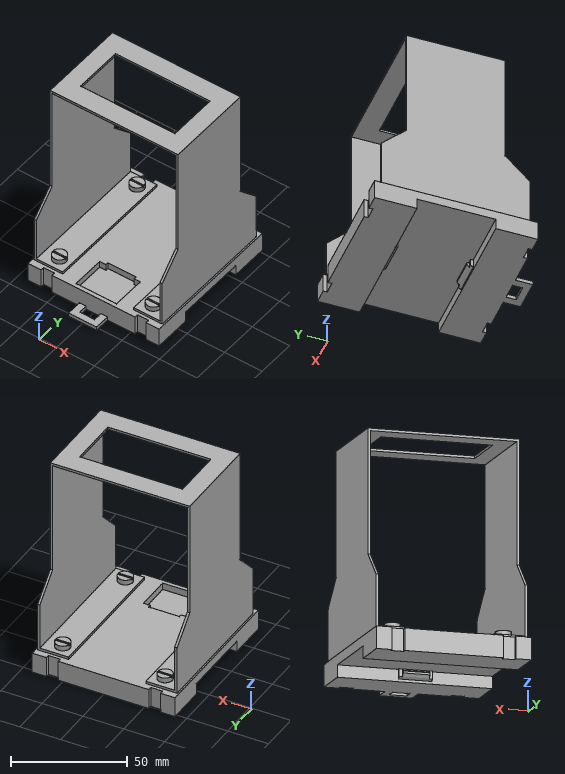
import cadquery as cq

BASE_WIDTH = 70.0
BASE_DEPTH = 75.0
BASE_HEIGHT = 10.0
TOTAL_HEIGHT = 101.0

RAIL_WIDTH = 36.2
RAIL_DEPTH = 5.5

NOTCH_WIDTH = 5.8
NOTCH_DEPTH = 1.8

POCKET_WIDTH = 21.6
POCKET_LENGTH = 17.2
POCKET_DEPTH = 3.3
POCKET_FRONT_WALL = 2.0
POCKET_RECESS = 1.4

SLIDER_WIDTH = 15.0
TAB_LENGTH = 8.0
TAB_THICKNESS = 2.0
TAB_WINDOW_WIDTH = 7.8
TAB_WINDOW_LENGTH = 4.5
LATCH_BLOCK = 1.2
LATCH_REACH = 2.4
LATCH_TIP_WIDTH = 12.1
CATCH_REACH = 1.5

SHEET = 1.2
FRAME_WIDTH = 68.4
FRAME_DEPTH = 68.3
FRAME_TOP_DEPTH = 45.3
SHOULDER_HEIGHT = 45.2
FOOT_WIDTH = 15.3
WINDOW_WIDTH = 50.3
WINDOW_DEPTH = 25.4

SCREW_SPACING_X = 50.1
SCREW_SPACING_Y = 56.3
HEAD_DIAMETER = 7.1
HEAD_HEIGHT = 2.4
SLOT_WIDTH = 0.7
SLOT_DEPTH = 0.9

FRONT = -BASE_DEPTH / 2
RAIL_SIDE = RAIL_WIDTH / 2


def block(width, depth, height, x=0, y=0, z=0):
    """Box centred on x and y, standing on z."""
    return cq.Workplane("XY").box(width, depth, height, centered=(True, True, False)).translate((x, y, z))


def bar_along_x(points, width):
    """Extrude a (y, z) outline to a bar centred on x = 0."""
    return cq.Workplane("YZ").polyline(points).close().extrude(width / 2, both=True)


def make_base():
    base = block(BASE_WIDTH, BASE_DEPTH, BASE_HEIGHT)
    base = base.cut(block(BASE_WIDTH, RAIL_WIDTH, RAIL_DEPTH))
    for x in (-SCREW_SPACING_X / 2, SCREW_SPACING_X / 2):
        for y in (FRONT, -FRONT):
            base = base.cut(block(NOTCH_WIDTH, 2 * NOTCH_DEPTH, BASE_HEIGHT, x, y))

    floor = BASE_HEIGHT - POCKET_DEPTH
    pocket_front = FRONT + POCKET_FRONT_WALL
    for width, length in ((POCKET_WIDTH, POCKET_LENGTH), (SLIDER_WIDTH, POCKET_LENGTH + POCKET_RECESS)):
        base = base.cut(block(width, length, POCKET_DEPTH, 0, pocket_front + length / 2, floor))
    return base


def make_tab():
    tab = block(SLIDER_WIDTH, TAB_LENGTH, TAB_THICKNESS, 0, FRONT - TAB_LENGTH / 2)
    return tab.cut(block(TAB_WINDOW_WIDTH, TAB_WINDOW_LENGTH, TAB_THICKNESS, 0, FRONT - TAB_WINDOW_LENGTH / 2))


def make_latches():
    """Spring latch on the front wall of the rail channel and fixed catch on the back wall."""
    root_z = 1.2
    block_bottom_z = 2.0
    tip_low_z = 3.4
    tip_high_z = 4.3
    shoulder_z = 4.9
    latch_block = bar_along_x(
        [
            (-RAIL_SIDE, root_z),
            (-RAIL_SIDE + LATCH_BLOCK, block_bottom_z),
            (-RAIL_SIDE + LATCH_BLOCK, RAIL_DEPTH),
            (-RAIL_SIDE, RAIL_DEPTH),
        ],
        SLIDER_WIDTH,
    )
    latch_tip = bar_along_x(
        [
            (-RAIL_SIDE + LATCH_BLOCK, block_bottom_z),
            (-RAIL_SIDE + LATCH_REACH, tip_low_z),
            (-RAIL_SIDE + LATCH_REACH, tip_high_z),
            (-RAIL_SIDE + LATCH_BLOCK, shoulder_z),
        ],
        LATCH_TIP_WIDTH,
    )

    catch_bottom_z = 1.2
    catch_top_z = 4.5
    catch_taper = 0.7
    catch = bar_along_x(
        [
            (RAIL_SIDE, catch_bottom_z),
            (RAIL_SIDE - CATCH_REACH, catch_bottom_z + catch_taper),
            (RAIL_SIDE - CATCH_REACH, catch_top_z - catch_taper),
            (RAIL_SIDE, catch_top_z),
        ],
        SLIDER_WIDTH,
    )
    return latch_block.union(latch_tip).union(catch)


def make_frame():
    half_depth = FRAME_DEPTH / 2
    half_top = FRAME_TOP_DEPTH / 2
    corner_z = SHOULDER_HEIGHT - (half_depth - half_top)
    frame = bar_along_x(
        [
            (-half_depth, BASE_HEIGHT),
            (half_depth, BASE_HEIGHT),
            (half_depth, corner_z),
            (half_top, SHOULDER_HEIGHT),
            (half_top, TOTAL_HEIGHT),
            (-half_top, TOTAL_HEIGHT),
            (-half_top, SHOULDER_HEIGHT),
            (-half_depth, corner_z),
        ],
        FRAME_WIDTH,
    )
    inside_z = BASE_HEIGHT + SHEET
    inside_height = TOTAL_HEIGHT - SHEET - inside_z
    frame = frame.cut(block(FRAME_WIDTH - 2 * SHEET, FRAME_DEPTH, inside_height, z=inside_z))
    frame = frame.cut(block(FRAME_WIDTH - 2 * FOOT_WIDTH, FRAME_DEPTH, SHEET, z=BASE_HEIGHT))
    return frame.cut(block(WINDOW_WIDTH, WINDOW_DEPTH, SHEET, z=TOTAL_HEIGHT - SHEET))


def make_screw_heads():
    head = cq.Workplane("XY").circle(HEAD_DIAMETER / 2).extrude(HEAD_HEIGHT)
    head = head.cut(block(HEAD_DIAMETER, SLOT_WIDTH, SLOT_DEPTH, z=HEAD_HEIGHT - SLOT_DEPTH))
    places = cq.Workplane("XY").workplane(offset=BASE_HEIGHT + SHEET)
    places = places.rarray(SCREW_SPACING_X, SCREW_SPACING_Y, 2, 2)
    return places.eachpoint(lambda place: head.val().moved(place), combine=False)


result = make_base()
for part in (make_tab(), make_latches(), make_frame(), make_screw_heads()):
    result = result.union(part)